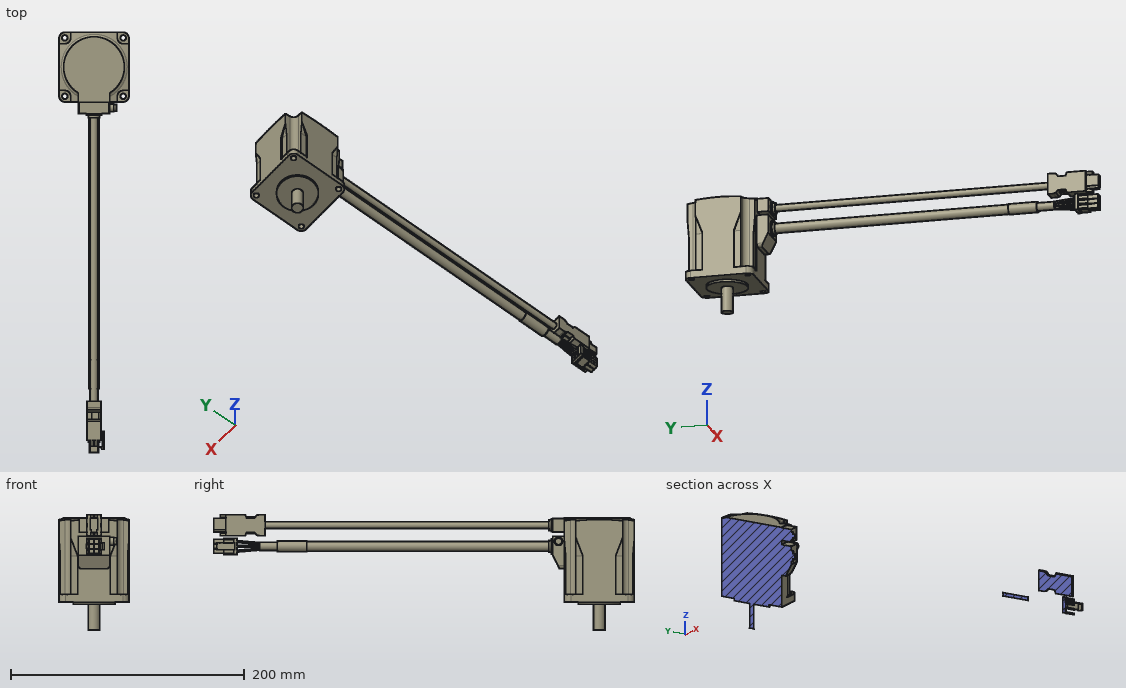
import cadquery as cq

FRAME = 60.0
HALF = FRAME / 2
FLANGE_HEIGHT = 6.5
FLANGE_CORNER_RADIUS = 5.5
BOLT_SPACING = 50.0
BOLT_HOLE_DIAMETER = 4.6
PILOT_DIAMETER = 36.0
PILOT_HEIGHT = 2.0
SHAFT_DIAMETER = 10.0
SHAFT_LENGTH = 24.0

BODY_TOP = 72.0
DISC_RADIUS = 26.0
RIM_RADIUS = 28.3
RIM_BOTTOM = 70.9
SHOULDER_SLOPE = 0.17
NECK_WIDTH = 27.0

POCKET_WALL = 20.0
POCKET_RADIUS = 5.0

RECESS_DEPTH = 1.3
RECESS_INNER = 14.0
RECESS_RAMP_BOTTOM = 39.5
RECESS_RAMP_TOP = 55.0

OUTLET_FACE = -HALF - 9.9
BOSS_LENGTH = 1.1
COLLAR_END = -HALF - 13.2
SIGNAL_Z = 65.8
SIGNAL_BLOCK_WIDTH = 25.0
SIGNAL_BLOCK_HEIGHT = 11.8
SIGNAL_BOSS_DIAMETER = 11.5
SIGNAL_COLLAR_DIAMETER = 9.5
SIGNAL_CABLE_DIAMETER = 6.0
POWER_Z = 47.7
POWER_BLOCK_WIDTH = 27.0
POWER_BLOCK_TOP = 56.5
POWER_BLOCK_BOTTOM = 28.5
POWER_SLOPE_TOP = 40.2
POWER_FOOT_DEPTH = 4.0
POWER_FOOT_RADIUS = 3.0
POWER_BOSS_DIAMETER = 13.4
POWER_COLLAR_DIAMETER = 10.2
POWER_CABLE_DIAMETER = 8.6

PLUG_Y = -34.9
PLUG_Z = 52.0
PLUG_HEAD_DIAMETER = 7.0
PLUG_HEAD_END = 17.0
PLUG_TIP_DIAMETER = 5.8
PLUG_TIP_END = 19.3

CABLE_END = -330.0
CONNECTOR_WIDTH = 12.2
CONNECTOR_TOP = 74.9
CONNECTOR_HALF_HEIGHT = CONNECTOR_TOP - SIGNAL_Z
CONNECTOR_START = -286.0
CONNECTOR_FRONT = -319.6
NOTCH_START = -291.0
NOTCH_LIP = -293.2
NOTCH_LIP_DEPTH = 0.5
NOTCH_FLOOR_START = -295.4
NOTCH_FLOOR_END = -301.6
NOTCH_END = -303.0
NOTCH_DEPTH = 3.0
LATCH_PAD_WIDTH = 6.0
LATCH_PAD_HEIGHT = 1.2
LATCH_PAD_X = 1.0
PRONG_END = -324.6
PRONG_WIDTH = 2.0
PRONG_X = 1.8
PRONG_HEIGHT = 2.6
SIGNAL_NOSE_WIDTH = 6.0
SIGNAL_NOSE_HEIGHT = 12.0
NOSE_KEY_HEIGHT = 2.2
NOSE_KEY_WIDTH = 4.6

SLEEVE_START = -250.4
SLEEVE_END = -275.5
SLEEVE_DIAMETER = 9.4
INNER_CABLE_DIAMETER = 7.2
INNER_CABLE_END = -290.8
WIRE_DIAMETER = 1.7
WIRE_BUNDLE_PITCH = 2.4
WIRE_OVERLAP = 1.0
COLUMNS = 2
ROWS = 3
WAY_PITCH = 4.2
WAY_SIZE = 3.8
HOUSING_START = -310.0
HOUSING_FLANGE_END = -312.8
HOUSING_FRONT = -321.2
HOUSING_WIDTH = 9.6
HOUSING_HEIGHT = 14.0
HOUSING_FLANGE_WIDTH = 12.0
HOUSING_GROOVE_LENGTH = 1.0
HOUSING_GROOVE_DEPTH = 0.5
HOUSING_RIBS = 4
HOUSING_RIB_HEIGHT = 1.3
NOSE_CORE_WIDTH = 5.0
NOSE_CORE_HEIGHT = 9.0
NOSE_CORE_END = -326.0

LEVER_START = -311.9
LEVER_END = -327.3
LEVER_OUTER = 8.7
LEVER_THICKNESS = 1.6
LEVER_HEIGHT = 6.0
LEVER_ROOT_LENGTH = 1.6
LEVER_HOOK_LENGTH = 2.4
LEVER_HOOK_INNER = 5.2


def box_between(x_range, y_range, z_range):
    """Axis-aligned box given by its limits along each axis."""
    sizes = [abs(r[1] - r[0]) for r in (x_range, y_range, z_range)]
    middle = tuple((r[0] + r[1]) / 2 for r in (x_range, y_range, z_range))
    return cq.Workplane("XY").box(*sizes).translate(middle)


def centred_box(width, height, z, y_start, y_end):
    """Box centred on X = 0 and on the given Z, running along Y."""
    return box_between((-width / 2, width / 2), (y_start, y_end), (z - height / 2, z + height / 2))


def rod(start, end, diameter):
    """Round rod between two points."""
    axis = cq.Vector(*end) - cq.Vector(*start)
    cylinder = cq.Solid.makeCylinder(diameter / 2, axis.Length, cq.Vector(*start), axis)
    return cq.Workplane("XY").add(cylinder)


def cable(z, diameter, y_start, y_end):
    """Round length along Y on the X = 0 plane."""
    return rod((0, y_start, z), (0, y_end, z), diameter)


def make_flange():
    flange = (
        cq.Workplane("XY")
        .rect(FRAME, FRAME)
        .extrude(FLANGE_HEIGHT)
        .edges("|Z")
        .fillet(FLANGE_CORNER_RADIUS)
    )
    pilot = cq.Workplane("XY").circle(PILOT_DIAMETER / 2).extrude(-PILOT_HEIGHT)
    shaft = cq.Workplane("XY").circle(SHAFT_DIAMETER / 2).extrude(-SHAFT_LENGTH)
    return flange.union(pilot).union(shaft)


def make_crown():
    """Body of revolution that shapes the disc, rim and sloping shoulders of the top."""
    reach = FRAME
    shoulder_edge = RIM_BOTTOM - SHOULDER_SLOPE * (reach - RIM_RADIUS)
    return (
        cq.Workplane("XZ")
        .moveTo(0, 0)
        .lineTo(reach, 0)
        .lineTo(reach, shoulder_edge)
        .lineTo(RIM_RADIUS, RIM_BOTTOM)
        .lineTo(DISC_RADIUS, BODY_TOP)
        .lineTo(0, BODY_TOP)
        .close()
        .revolve(360, (0, 0, 0), (0, 1, 0))
    )


def make_side_recess():
    """Recess beside the middle of the -Y side at +X: flat floor with a ramp running out at its top."""
    face = -HALF
    wedge = (
        cq.Workplane("YZ")
        .moveTo(face, FLANGE_HEIGHT)
        .lineTo(face + RECESS_DEPTH, FLANGE_HEIGHT)
        .lineTo(face + RECESS_DEPTH, RECESS_RAMP_BOTTOM)
        .lineTo(face, RECESS_RAMP_TOP)
        .close()
        .extrude(HALF)
    )
    outline = (
        cq.Workplane("XZ", origin=(0, face, 0))
        .moveTo(RECESS_INNER, FLANGE_HEIGHT)
        .lineTo(HALF, FLANGE_HEIGHT)
        .lineTo(HALF, RECESS_RAMP_TOP)
        .lineTo(POCKET_WALL, RECESS_RAMP_TOP)
        .lineTo(RECESS_INNER, RECESS_RAMP_BOTTOM)
        .close()
        .extrude(-HALF)
    )
    return wedge.intersect(outline)


def make_body():
    body = box_between((-HALF, HALF), (-HALF, HALF), (FLANGE_HEIGHT, BODY_TOP)).intersect(make_crown())
    neck_half = NECK_WIDTH / 2
    body = body.union(box_between((-neck_half, neck_half), (-HALF, 0), (FLANGE_HEIGHT, BODY_TOP)))

    pocket = (
        box_between((POCKET_WALL, FRAME), (POCKET_WALL, FRAME), (FLANGE_HEIGHT, BODY_TOP))
        .edges("|Z and <X and <Y")
        .fillet(POCKET_RADIUS)
    )
    recess = make_side_recess()
    recess_pair = recess.union(recess.mirror("YZ"))
    for turn in range(4):
        angle = 90 * turn
        body = body.cut(pocket.rotate((0, 0, 0), (0, 0, 1), angle))
        body = body.cut(recess_pair.rotate((0, 0, 0), (0, 0, 1), angle))
    return body


def cut_bolt_holes(part):
    holes = (
        cq.Workplane("XY")
        .rect(BOLT_SPACING, BOLT_SPACING, forConstruction=True)
        .vertices()
        .circle(BOLT_HOLE_DIAMETER / 2)
        .extrude(FLANGE_HEIGHT)
    )
    return part.cut(holes)


def make_outlet_end(z, boss_diameter, collar_diameter):
    """Round boss and cable collar on the face of an outlet block."""
    boss = cable(z, boss_diameter, -HALF, OUTLET_FACE - BOSS_LENGTH)
    return boss.union(cable(z, collar_diameter, -HALF, COLLAR_END))


def make_signal_outlet():
    block = centred_box(SIGNAL_BLOCK_WIDTH, SIGNAL_BLOCK_HEIGHT, SIGNAL_Z, -HALF, OUTLET_FACE)
    return block.union(make_outlet_end(SIGNAL_Z, SIGNAL_BOSS_DIAMETER, SIGNAL_COLLAR_DIAMETER))


def make_power_outlet():
    block = (
        cq.Workplane("YZ", origin=(-POWER_BLOCK_WIDTH / 2, 0, 0))
        .moveTo(-HALF, POWER_BLOCK_TOP)
        .lineTo(OUTLET_FACE, POWER_BLOCK_TOP)
        .lineTo(OUTLET_FACE, POWER_SLOPE_TOP)
        .lineTo(-HALF - POWER_FOOT_DEPTH, POWER_BLOCK_BOTTOM)
        .lineTo(-HALF, POWER_BLOCK_BOTTOM)
        .close()
        .extrude(POWER_BLOCK_WIDTH)
    )
    rounded_outline = (
        centred_box(
            POWER_BLOCK_WIDTH,
            POWER_BLOCK_TOP - POWER_BLOCK_BOTTOM,
            (POWER_BLOCK_TOP + POWER_BLOCK_BOTTOM) / 2,
            -HALF,
            OUTLET_FACE,
        )
        .edges("|Y and <Z")
        .fillet(POWER_FOOT_RADIUS)
    )
    block = block.intersect(rounded_outline)
    plug_head = rod((0, PLUG_Y, PLUG_Z), (PLUG_HEAD_END, PLUG_Y, PLUG_Z), PLUG_HEAD_DIAMETER)
    plug_tip = rod((0, PLUG_Y, PLUG_Z), (PLUG_TIP_END, PLUG_Y, PLUG_Z), PLUG_TIP_DIAMETER)
    outlet_end = make_outlet_end(POWER_Z, POWER_BOSS_DIAMETER, POWER_COLLAR_DIAMETER)
    return block.union(outlet_end).union(plug_head).union(plug_tip)


def make_grip_notch():
    """Finger notch cut into the top of the signal connector."""
    top = CONNECTOR_TOP
    return (
        cq.Workplane("YZ", origin=(-CONNECTOR_WIDTH / 2, 0, 0))
        .moveTo(NOTCH_START, top)
        .lineTo(NOTCH_LIP, top - NOTCH_LIP_DEPTH)
        .lineTo(NOTCH_FLOOR_START, top - NOTCH_DEPTH)
        .lineTo(NOTCH_FLOOR_END, top - NOTCH_DEPTH)
        .lineTo(NOTCH_END, top)
        .close()
        .extrude(CONNECTOR_WIDTH)
    )


def make_signal_nose():
    """Plug nose with a narrower keying step along its lower edge."""
    upper_height = SIGNAL_NOSE_HEIGHT - NOSE_KEY_HEIGHT
    upper_z = SIGNAL_Z + NOSE_KEY_HEIGHT / 2
    upper = centred_box(SIGNAL_NOSE_WIDTH, upper_height, upper_z, CONNECTOR_FRONT, CABLE_END)
    key = centred_box(NOSE_KEY_WIDTH, SIGNAL_NOSE_HEIGHT, SIGNAL_Z, CONNECTOR_FRONT, CABLE_END)
    return upper.union(key)


def make_signal_connector():
    shell = centred_box(
        CONNECTOR_WIDTH, 2 * CONNECTOR_HALF_HEIGHT, SIGNAL_Z, CONNECTOR_START, CONNECTOR_FRONT
    )
    connector = shell.union(make_signal_nose())

    notch = make_grip_notch()
    pad_bottom = CONNECTOR_TOP - NOTCH_DEPTH
    pad = box_between(
        (LATCH_PAD_X - LATCH_PAD_WIDTH / 2, LATCH_PAD_X + LATCH_PAD_WIDTH / 2),
        (NOTCH_FLOOR_START, NOTCH_FLOOR_END),
        (pad_bottom, pad_bottom + LATCH_PAD_HEIGHT),
    )
    additions = pad
    for x in (-PRONG_X, PRONG_X):
        prong = box_between(
            (x - PRONG_WIDTH / 2, x + PRONG_WIDTH / 2),
            (CONNECTOR_FRONT, PRONG_END),
            (CONNECTOR_TOP - PRONG_HEIGHT, CONNECTOR_TOP),
        )
        additions = additions.union(prong)

    centre = (0, 0, SIGNAL_Z)
    connector = connector.cut(notch).cut(notch.mirror("XY", centre))
    return connector.union(additions).union(additions.mirror("XY", centre))


def way_positions(pitch):
    """X and Z centres of the ways of the power connector at the given pitch."""
    positions = []
    for column in range(COLUMNS):
        for row in range(ROWS):
            x = (column - (COLUMNS - 1) / 2) * pitch
            z = POWER_Z + (row - (ROWS - 1) / 2) * pitch
            positions.append((x, z))
    return positions


def make_wires():
    """Loose wires fanning out from the inner cable to the connector ways."""
    wires = cq.Workplane("XY")
    starts = way_positions(WIRE_BUNDLE_PITCH)
    ends = way_positions(WAY_PITCH)
    for (x0, z0), (x1, z1) in zip(starts, ends):
        start = (x0, INNER_CABLE_END + WIRE_OVERLAP, z0)
        end = (x1, HOUSING_START - WIRE_OVERLAP, z1)
        wires = wires.union(rod(start, end, WIRE_DIAMETER))
    return wires


def make_lever():
    """Latch lever on the +X side, rooted on the housing flange and hooked at its free end."""
    bottom = POWER_Z - LEVER_HEIGHT / 2
    heights = (bottom, bottom + LEVER_HEIGHT)
    arm = box_between((LEVER_OUTER - LEVER_THICKNESS, LEVER_OUTER), (LEVER_START, LEVER_END), heights)
    root = box_between((0, LEVER_OUTER), (LEVER_START, LEVER_START - LEVER_ROOT_LENGTH), heights)
    hook = (
        cq.Workplane("XY", origin=(0, 0, bottom))
        .moveTo(LEVER_OUTER, LEVER_END)
        .lineTo(LEVER_OUTER - LEVER_THICKNESS, LEVER_END)
        .lineTo(LEVER_HOOK_INNER, LEVER_END + LEVER_HOOK_LENGTH)
        .lineTo(LEVER_OUTER, LEVER_END + LEVER_HOOK_LENGTH)
        .close()
        .extrude(LEVER_HEIGHT)
    )
    return arm.union(root).union(hook)


def make_power_connector():
    """Housing with a rear flange and ribbed sides, and a nose of separate ways."""
    flange = centred_box(HOUSING_FLANGE_WIDTH, HOUSING_HEIGHT, POWER_Z, HOUSING_START, HOUSING_FLANGE_END)
    core_width = HOUSING_WIDTH - 2 * HOUSING_GROOVE_DEPTH
    core_height = HOUSING_HEIGHT - 2 * HOUSING_GROOVE_DEPTH
    connector = flange.union(centred_box(core_width, core_height, POWER_Z, HOUSING_START, HOUSING_FRONT))

    rib_start = HOUSING_FLANGE_END - HOUSING_GROOVE_LENGTH
    rib_pitch = (HOUSING_HEIGHT - HOUSING_RIB_HEIGHT) / (HOUSING_RIBS - 1)
    for number in range(HOUSING_RIBS):
        z = POWER_Z + (number - (HOUSING_RIBS - 1) / 2) * rib_pitch
        connector = connector.union(
            centred_box(HOUSING_WIDTH, HOUSING_RIB_HEIGHT, z, rib_start, HOUSING_FRONT)
        )

    connector = connector.union(
        centred_box(NOSE_CORE_WIDTH, NOSE_CORE_HEIGHT, POWER_Z, HOUSING_FRONT, NOSE_CORE_END)
    )
    for x, z in way_positions(WAY_PITCH):
        way = box_between(
            (x - WAY_SIZE / 2, x + WAY_SIZE / 2),
            (HOUSING_FRONT, CABLE_END),
            (z - WAY_SIZE / 2, z + WAY_SIZE / 2),
        )
        connector = connector.union(way)
    return connector.union(make_lever())


def make_power_cable():
    lead = cable(POWER_Z, POWER_CABLE_DIAMETER, -HALF, SLEEVE_END)
    sleeve = cable(POWER_Z, SLEEVE_DIAMETER, SLEEVE_START, SLEEVE_END)
    inner = cable(POWER_Z, INNER_CABLE_DIAMETER, SLEEVE_END, INNER_CABLE_END)
    return lead.union(sleeve).union(inner).union(make_wires())


motor = cut_bolt_holes(make_flange().union(make_body()))
signal_cable = cable(SIGNAL_Z, SIGNAL_CABLE_DIAMETER, -HALF, CONNECTOR_START)

result = (
    motor.union(make_signal_outlet())
    .union(make_power_outlet())
    .union(signal_cable)
    .union(make_signal_connector())
    .union(make_power_cable())
    .union(make_power_connector())
)